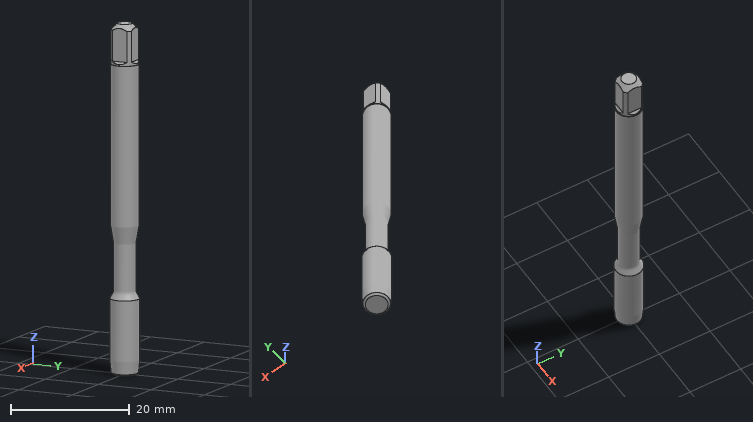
import cadquery as cq
import math

TOTAL_LENGTH = 60.5
CUTTER_TOP_Z = 13.05
NECK_BOTTOM_Z = 14.5
NECK_TOP_Z = 22.6
SHANK_BOTTOM_Z = 25.65
SHANK_TOP_Z = 53.5

CUTTER_DIAMETER = 5.15
NECK_DIAMETER = 3.9
SHANK_DIAMETER = 4.9
DRIVE_CORNER_DIAMETER = 4.7
DRIVE_TOP_DIAMETER = 2.65

LOWER_CONE_ANGLE = 30.0

DRIVE_WIDTH = 3.9
FLAT_BOTTOM_Z = 54.15

LEAD_HEIGHT = 2.5
LEAD_BOTTOM_DIAMETER = 4.7
TIP_CHAMFER_HEIGHT = 0.3
TIP_DIAMETER = 3.9


def revolve_profile(profile):
    """Close a half profile, drawn as radius and height, and turn it around Z."""
    return profile.close().revolve(360, (0, 0, 0), (0, 1, 0))


def make_cutter():
    """Cutting head with a tapered lead, without the thread."""
    profile = (
        cq.Workplane("XZ")
        .lineTo(TIP_DIAMETER / 2, 0)
        .lineTo(LEAD_BOTTOM_DIAMETER / 2, TIP_CHAMFER_HEIGHT)
        .lineTo(CUTTER_DIAMETER / 2, LEAD_HEIGHT)
        .lineTo(CUTTER_DIAMETER / 2, CUTTER_TOP_Z)
        .lineTo(0, CUTTER_TOP_Z)
    )
    return revolve_profile(profile)


def make_turned_shank():
    """Neck, shank and drive end as turned, before the flats are cut."""
    cutter_radius = CUTTER_DIAMETER / 2
    neck_radius = NECK_DIAMETER / 2
    corner_radius = DRIVE_CORNER_DIAMETER / 2
    drive_top_radius = DRIVE_TOP_DIAMETER / 2
    drive_chamfer = corner_radius - drive_top_radius

    cone_angle = math.radians(LOWER_CONE_ANGLE)
    rise = NECK_BOTTOM_Z - CUTTER_TOP_Z
    widening = cutter_radius - neck_radius
    blend_radius = (rise * math.tan(cone_angle) - widening) / (1 / math.cos(cone_angle) - 1)

    def blend_point(angle):
        """Radius and height on the blend, at an angle turned from the neck."""
        radius = neck_radius + blend_radius * (1 - math.cos(angle))
        height = NECK_BOTTOM_Z - blend_radius * math.sin(angle)
        return radius, height

    profile = (
        cq.Workplane("XZ")
        .moveTo(0, CUTTER_TOP_Z)
        .lineTo(cutter_radius, CUTTER_TOP_Z)
        .lineTo(*blend_point(cone_angle))
        .threePointArc(blend_point(cone_angle / 2), (neck_radius, NECK_BOTTOM_Z))
        .lineTo(neck_radius, NECK_TOP_Z)
        .lineTo(SHANK_DIAMETER / 2, SHANK_BOTTOM_Z)
        .lineTo(SHANK_DIAMETER / 2, SHANK_TOP_Z)
        .lineTo(corner_radius, SHANK_TOP_Z)
        .lineTo(corner_radius, TOTAL_LENGTH - drive_chamfer)
        .lineTo(drive_top_radius, TOTAL_LENGTH)
        .lineTo(0, TOTAL_LENGTH)
    )
    return revolve_profile(profile)


def make_flat_cutter():
    """Material beside one flat, ending below in a 45 degree run-out."""
    inner = DRIVE_WIDTH / 2
    outer = SHANK_DIAMETER
    return (
        cq.Workplane("XZ")
        .moveTo(inner, FLAT_BOTTOM_Z)
        .lineTo(outer, FLAT_BOTTOM_Z - (outer - inner))
        .lineTo(outer, TOTAL_LENGTH)
        .lineTo(inner, TOTAL_LENGTH)
        .close()
        .extrude(SHANK_DIAMETER / 2, both=True)
    )


def make_shank():
    """Shank with four flats that form the square drive."""
    shank = make_turned_shank()
    flat_cutter = make_flat_cutter()
    for quarter_turn in range(4):
        shank = shank.cut(flat_cutter.rotate((0, 0, 0), (0, 0, 1), 90 * quarter_turn))
    return shank


cutter = make_cutter()
shank = make_shank()
result = cq.Compound.makeCompound([cutter.val(), shank.val()])